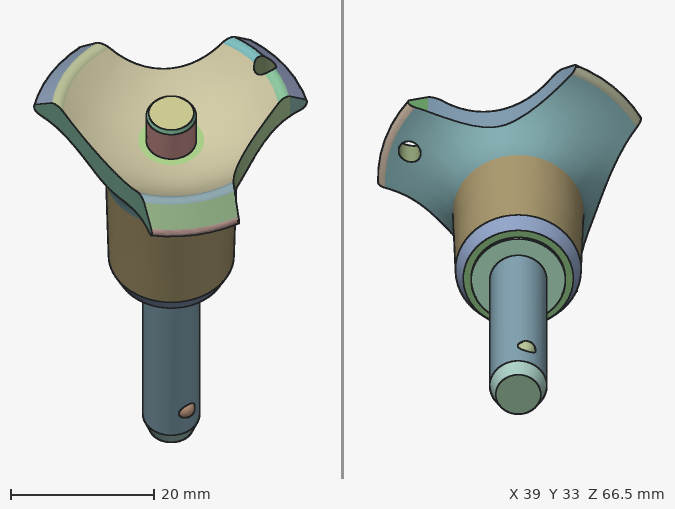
import cadquery as cq
import math


SHANK_RADIUS = 4.0
SHANK_LENGTH = 33.3
TIP_RADIUS = 3.15
TIP_HEIGHT = 2.5
BALL_RADIUS = 1.4
BALL_REACH = 4.75
BALL_HEIGHT_FROM_TIP = 6.9

COLLAR_RADIUS = 6.6
COLLAR_HEIGHT = 0.5
GRIP_BASE_RADIUS = 7.7
GRIP_LOWER_RADIUS = 8.8
GRIP_BEVEL_TOP = 3.0
GRIP_TOP = 19.8

HEAD_TOP = 33.2
HEAD_RADIUS = 19.65
FLARE_RADIUS = 9.5
RIM_UNDERSIDE = 28.8
RIM_ROUND = 1.0
OUTER_EDGE_Z = 33.0
RIM_SLOPE = math.radians(45.5)
CREST_ROUND = 1.45
DISH_RADIUS = 22.3

REAR_LOBE_HALF_WIDTH = 6.75
SIDE_CUT_RADIUS = 18.5
SIDE_LOBE_REAR_CORNER = (19.485, -2.05)
SIDE_LOBE_FRONT_CORNER = (14.35, -13.35)
FRONT_CUT_MIDDLE_Y = -11.2

BUTTON_RADIUS = 3.5
BUTTON_CHAMFER_WIDTH = 0.35
BUTTON_CHAMFER_HEIGHT = 0.6
SEAT_RADIUS = 4.6
LANYARD_HOLE_RADIUS = 1.55
LANYARD_HOLE_Y = 16.0


def on_circle(center, radius, angle):
    return (center[0] + radius * math.cos(angle), center[1] + radius * math.sin(angle))


def make_shank():
    """Shank with a tapered tip; its upper end is buried in the grip."""
    tip_z = -SHANK_LENGTH
    profile = [
        (0, tip_z),
        (TIP_RADIUS, tip_z),
        (SHANK_RADIUS, tip_z + TIP_HEIGHT),
        (SHANK_RADIUS, GRIP_BEVEL_TOP),
        (0, GRIP_BEVEL_TOP),
    ]
    return cq.Workplane("XZ").polyline(profile).close().revolve(360, (0, 0, 0), (0, 1, 0))


def make_ball(side):
    """Locking ball standing out of the shank; side is +1 or -1 along X."""
    center_x = side * (BALL_REACH - BALL_RADIUS)
    center_z = BALL_HEIGHT_FROM_TIP - SHANK_LENGTH
    return cq.Workplane("XY").sphere(BALL_RADIUS).translate((center_x, 0, center_z))


def make_grip_and_head():
    """Turned body: collar, tapered grip, flare, sloping rim and dished top."""
    rim_center = (HEAD_RADIUS - RIM_ROUND, RIM_UNDERSIDE + RIM_ROUND)
    rim_start = on_circle(rim_center, RIM_ROUND, math.radians(-90))
    rim_middle = on_circle(rim_center, RIM_ROUND, 0)
    rim_end = on_circle(rim_center, RIM_ROUND, RIM_SLOPE)

    flare_center = (rim_center[0], RIM_UNDERSIDE - FLARE_RADIUS)
    flare_start_angle = math.pi - math.asin((GRIP_TOP - flare_center[1]) / FLARE_RADIUS)
    flare_start = on_circle(flare_center, FLARE_RADIUS, flare_start_angle)
    flare_middle = on_circle(flare_center, FLARE_RADIUS, (flare_start_angle + math.pi / 2) / 2)

    outer_edge_r = rim_end[0] - (OUTER_EDGE_Z - rim_end[1]) * math.tan(RIM_SLOPE)
    crest_start = (outer_edge_r, OUTER_EDGE_Z)
    crest_z = HEAD_TOP - CREST_ROUND
    crest_start_angle = math.asin((OUTER_EDGE_Z - crest_z) / CREST_ROUND)
    crest_r = outer_edge_r - CREST_ROUND * math.cos(crest_start_angle)
    crest_center = (crest_r, crest_z)
    dish_center_z = crest_z + math.sqrt((DISH_RADIUS + CREST_ROUND) ** 2 - crest_r ** 2)
    dish_center = (0, dish_center_z)
    dish_start_angle = math.atan2(crest_z - dish_center_z, crest_r)
    crest_end_angle = dish_start_angle + math.pi
    crest_middle = on_circle(crest_center, CREST_ROUND, (crest_start_angle + crest_end_angle) / 2)
    dish_end_angle = -math.acos(SEAT_RADIUS / DISH_RADIUS)
    dish_start = on_circle(dish_center, DISH_RADIUS, dish_start_angle)
    dish_middle = on_circle(dish_center, DISH_RADIUS, (dish_start_angle + dish_end_angle) / 2)
    dish_end = on_circle(dish_center, DISH_RADIUS, dish_end_angle)

    return (
        cq.Workplane("XZ")
        .moveTo(0, 0)
        .lineTo(COLLAR_RADIUS, 0)
        .lineTo(COLLAR_RADIUS, COLLAR_HEIGHT)
        .lineTo(GRIP_BASE_RADIUS, COLLAR_HEIGHT)
        .lineTo(GRIP_LOWER_RADIUS, GRIP_BEVEL_TOP)
        .lineTo(*flare_start)
        .threePointArc(flare_middle, rim_start)
        .threePointArc(rim_middle, rim_end)
        .lineTo(*crest_start)
        .threePointArc(crest_middle, dish_start)
        .threePointArc(dish_middle, dish_end)
        .lineTo(0, dish_end[1])
        .close()
        .revolve(360, (0, 0, 0), (0, 1, 0))
    )


def make_lobe_outline():
    """Upright prism whose plan is the three-lobed head; the turned rim closes the lobe ends."""
    def mirrored(point):
        return (-point[0], point[1])

    outer_rear = SIDE_LOBE_REAR_CORNER
    outer_front = SIDE_LOBE_FRONT_CORNER
    beyond_lobe = (HEAD_RADIUS, outer_front[1])
    rear_end = (REAR_LOBE_HALF_WIDTH, HEAD_RADIUS)

    cut_center_x = REAR_LOBE_HALF_WIDTH + SIDE_CUT_RADIUS
    cut_rise = math.sqrt(SIDE_CUT_RADIUS ** 2 - (cut_center_x - outer_rear[0]) ** 2)
    cut_center = (cut_center_x, outer_rear[1] + cut_rise)
    cut_end_angle = math.atan2(-cut_rise, outer_rear[0] - cut_center_x)
    cut_middle = on_circle(cut_center, SIDE_CUT_RADIUS, (cut_end_angle - math.pi) / 2)
    rear_root = (REAR_LOBE_HALF_WIDTH, cut_center[1])
    return (
        cq.Workplane("XY")
        .moveTo(*mirrored(rear_end))
        .lineTo(*rear_end)
        .lineTo(*rear_root)
        .threePointArc(cut_middle, outer_rear)
        .lineTo(*beyond_lobe)
        .lineTo(*outer_front)
        .threePointArc((0, FRONT_CUT_MIDDLE_Y), mirrored(outer_front))
        .lineTo(*mirrored(beyond_lobe))
        .lineTo(*mirrored(outer_rear))
        .threePointArc(mirrored(cut_middle), mirrored(rear_root))
        .close()
        .extrude(HEAD_TOP)
    )


def make_button():
    """Release button standing on the dish floor, level with the head top."""
    return (
        cq.Workplane("XY")
        .workplane(offset=GRIP_TOP)
        .circle(BUTTON_RADIUS)
        .extrude(HEAD_TOP - GRIP_TOP)
        .faces(">Z")
        .chamfer(BUTTON_CHAMFER_HEIGHT, BUTTON_CHAMFER_WIDTH)
    )


def make_lanyard_hole():
    """Through hole along Z in the rear lobe."""
    return (
        cq.Workplane("XY")
        .center(0, LANYARD_HOLE_Y)
        .circle(LANYARD_HOLE_RADIUS)
        .extrude(HEAD_TOP)
    )


body = make_grip_and_head().intersect(make_lobe_outline()).cut(make_lanyard_hole())
result = body.union(make_shank()).union(make_button())
for ball_side in (-1, 1):
    result = result.union(make_ball(ball_side))